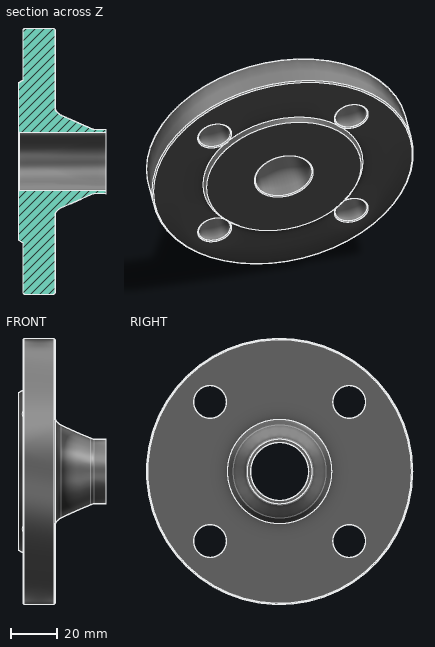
import cadquery as cq

length = 38.0
flange_diameter = 115.0
flange_back = 16.0
edge_chamfer = 0.6

face_height = 2.0
face_diameter = 68.0
face_base_diameter = 70.4

neck_root_diameter = 45.1
cone_start = 18.4
cone_start_diameter = 40.2
cone_end = 31.3
cone_end_diameter = 28.9
neck_end_start = 32.7
neck_diameter = 28.0
root_mid = (17.0, 21.2)

bore_diameter = 25.0
bore_chamfer = 0.5
bolt_diameter = 14.0
bolt_chamfer = 0.5
bolt_circle_diameter = 85.0
bolt_count = 4
lead_in = 1.2


def flange_body():
    """Revolve the outer half profile, drawn as (X, radius), about the X axis."""
    rim = flange_diameter / 2
    profile = (
        cq.Workplane("XY")
        .moveTo(0, 0)
        .lineTo(0, face_diameter / 2)
        .lineTo(face_height, face_base_diameter / 2)
        .lineTo(face_height, rim - edge_chamfer)
        .lineTo(face_height + edge_chamfer, rim)
        .lineTo(flange_back - edge_chamfer, rim)
        .lineTo(flange_back, rim - edge_chamfer)
        .lineTo(flange_back, neck_root_diameter / 2)
        .threePointArc(root_mid, (cone_start, cone_start_diameter / 2))
        .lineTo(cone_end, cone_end_diameter / 2)
        .tangentArcPoint((neck_end_start, neck_diameter / 2), relative=False)
        .lineTo(length, neck_diameter / 2)
        .lineTo(length, 0)
        .close()
    )
    return profile.revolve(360, (0, 0, 0), (1, 0, 0))


def chamfered_hole(diameter, chamfer, mouth, end):
    """Cutter along X from ahead of the sealing face to end, with a 45 degree chamfer at X = mouth."""
    radius = diameter / 2
    mouth_radius = radius + chamfer
    barrel = cq.Workplane("YZ").circle(radius).extrude(end)
    countersink = (
        cq.Workplane("XY")
        .moveTo(-lead_in, 0)
        .lineTo(-lead_in, mouth_radius)
        .lineTo(mouth, mouth_radius)
        .lineTo(mouth + chamfer, radius)
        .lineTo(mouth + chamfer, 0)
        .close()
        .revolve(360, (0, 0, 0), (1, 0, 0))
    )
    return barrel.union(countersink)


def cut_bore(body):
    """Cut the through bore, chamfered at the sealing face."""
    return body.cut(chamfered_hole(bore_diameter, bore_chamfer, 0, length))


def cut_bolt_holes(body):
    """Cut the bolt holes, placed midway between the Y and Z axes."""
    cutter = chamfered_hole(bolt_diameter, bolt_chamfer, face_height, flange_back)
    cutter = cutter.translate((0, bolt_circle_diameter / 2, 0))
    pitch = 360 / bolt_count
    for index in range(bolt_count):
        angle = pitch * (index + 0.5)
        body = body.cut(cutter.rotate((0, 0, 0), (1, 0, 0), angle))
    return body


result = cut_bolt_holes(cut_bore(flange_body()))